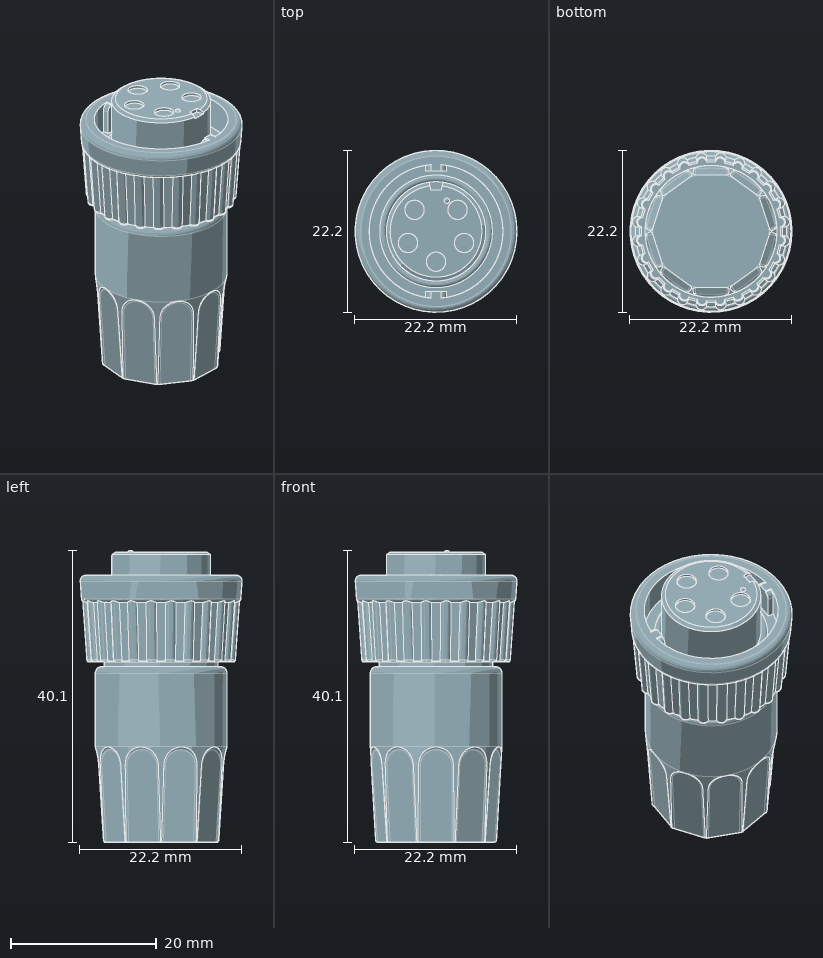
import cadquery as cq
import math

total_height = 40.05
insert_top = 39.8
nut_top = 36.63
socket_floor = 32.4
band_bottom = 32.9
nut_bottom = 24.75
body_top = 24.1
grip_top = 13.13

nut_diameter = 22.2
nut_radius = nut_diameter / 2
nut_draft = math.radians(4)
nut_rounding = 0.8
socket_radius = 9.15
groove_depth = 0.55
band_bottom_rounding = 0.52
nut_bottom_chamfer_height = 0.25
nut_bottom_chamfer_width = 0.12
rib_count = 24
rib_radius = 0.75
rib_recess = 0.1

key_inner_radius = 8.25
key_half_width = 1.45
key_crest_half_width = 0.7
key_crest_height = 0.2
key_root = 0.4

insert_radius = 6.8
insert_bevel_width = 0.52
insert_bevel_height = 0.35
contact_count = 5
contact_circle_radius = 4.15
contact_radius = 1.32
contact_depth = 0.4
contact_spacing = 67.5
first_contact_angle = 135
notch_inner_y = 5.7
notch_inner_half_width = 0.72
notch_outer_half_width = 0.95
notch_depth = 0.55
marker_x = 1.5
marker_y = 4.2
marker_radius = 0.4

rim_outer_radius = 7.73

neck_radius = 7.8
body_radius = 9.05
body_rounding = 0.92
grip_end_radius = 8.3
grip_end_rounding = 0.35
flat_count = 10
flat_depth_at_end = 0.55
flat_depth_at_top = 0.35
flat_half_width = 2.55
flat_corner_rounding = 0.4


def cone(bottom_z, bottom_radius, top_z, top_radius):
    """Solid cone frustum on the Z axis."""
    profile = [(0, bottom_z), (bottom_radius, bottom_z), (top_radius, top_z), (0, top_z)]
    return cq.Workplane("XZ").polyline(profile).close().revolve(360, (0, 0), (0, 1))


def cylinder(bottom_z, top_z, radius):
    return cq.Workplane("XY").workplane(offset=bottom_z).circle(radius).extrude(top_z - bottom_z)


def nut_radius_at(z):
    """Radius of the drafted outer surface of the nut."""
    return nut_radius - (nut_top - nut_rounding - z) * math.tan(nut_draft)


def chamfer_foot(solid):
    """Chamfer the bottom edge, taller than it is wide."""
    return solid.faces("<Z").edges().chamfer(nut_bottom_chamfer_height, nut_bottom_chamfer_width)


def make_rib():
    """Round rod lying along the drafted surface, on the +X side."""
    axis_inset = rib_radius + rib_recess
    foot = cq.Vector(nut_radius_at(nut_bottom) - axis_inset, 0, nut_bottom)
    head = cq.Vector(nut_radius_at(band_bottom) - axis_inset, 0, band_bottom)
    along = head - foot
    overrun = along.normalized() * rib_radius
    length = along.Length + 2 * rib_radius
    rod = cq.Workplane(cq.Solid.makeCylinder(rib_radius, length, foot - overrun, along))
    rod = rod.cut(cylinder(nut_bottom - 2 * rib_radius, nut_bottom, nut_radius))
    return chamfer_foot(rod)


def make_nut():
    foot_radius = nut_radius_at(nut_bottom)
    band_radius = nut_radius_at(band_bottom)
    band = cone(band_bottom, band_radius, nut_top, nut_radius_at(nut_top))
    core = cone(nut_bottom, foot_radius - groove_depth, band_bottom, band_radius - groove_depth)
    band = band.faces(">Z").edges().fillet(nut_rounding)
    band = band.faces("<Z").edges().fillet(band_bottom_rounding)
    nut = band.union(chamfer_foot(core))
    rib = make_rib()
    for index in range(rib_count):
        angle = (index + 0.5) * 360 / rib_count
        nut = nut.union(rib.rotate((0, 0, 0), (0, 0, 1), angle))
    return nut.cut(cylinder(socket_floor, nut_top, socket_radius))


def make_key():
    """Key on the +Y side of the socket: round shoulders below a flat crest."""
    shoulder_top = nut_top - key_crest_height
    shoulder_radius = key_half_width - key_crest_half_width
    shoulder_bottom = shoulder_top - shoulder_radius
    diagonal = shoulder_radius * math.sqrt(0.5)
    arc_x = key_crest_half_width + diagonal
    arc_z = shoulder_bottom + diagonal
    outline = (
        cq.Workplane("XZ", origin=(0, key_inner_radius, 0))
        .moveTo(-key_half_width, socket_floor)
        .lineTo(-key_half_width, shoulder_bottom)
        .threePointArc((-arc_x, arc_z), (-key_crest_half_width, shoulder_top))
        .lineTo(-key_crest_half_width, nut_top)
        .lineTo(key_crest_half_width, nut_top)
        .lineTo(key_crest_half_width, shoulder_top)
        .threePointArc((arc_x, arc_z), (key_half_width, shoulder_bottom))
        .lineTo(key_half_width, socket_floor)
        .close()
    )
    return outline.extrude(key_inner_radius - socket_radius - key_root)


def make_insert():
    insert = cylinder(socket_floor, insert_top, insert_radius)
    insert = insert.faces(">Z").edges().chamfer(insert_bevel_height, insert_bevel_width)
    for index in range(contact_count):
        angle = math.radians(first_contact_angle + index * contact_spacing)
        x = contact_circle_radius * math.cos(angle)
        y = contact_circle_radius * math.sin(angle)
        contact = cylinder(insert_top - contact_depth, insert_top, contact_radius)
        insert = insert.cut(contact.translate((x, y, 0)))
    notch = (
        cq.Workplane("XY", origin=(0, 0, insert_top - notch_depth))
        .moveTo(-notch_inner_half_width, notch_inner_y)
        .lineTo(notch_inner_half_width, notch_inner_y)
        .lineTo(notch_outer_half_width, insert_radius)
        .lineTo(-notch_outer_half_width, insert_radius)
        .close()
        .extrude(notch_depth)
    )
    marker = cq.Workplane("XY").sphere(marker_radius)
    marker = marker.translate((marker_x, marker_y, total_height - marker_radius))
    return insert.cut(notch).union(marker)


def make_rim():
    """Ring of round section, half sunk into the socket floor."""
    rim_radius = (rim_outer_radius - insert_radius) / 2
    centre_radius = rim_outer_radius - rim_radius
    ring = cq.Workplane("XZ").center(centre_radius, socket_floor).circle(rim_radius)
    return ring.revolve(360, (-centre_radius, 0), (-centre_radius, 1))


def make_flat_cutter():
    """Arch-topped slab that cuts one flat of the grip, on the -Y side."""
    end_distance = grip_end_radius - flat_depth_at_end
    top_distance = body_radius - flat_depth_at_top
    slope = math.atan2(top_distance - end_distance, grip_top)
    arch_centre = grip_top - flat_half_width
    cutter = (
        cq.Workplane("XZ")
        .moveTo(-flat_half_width, -flat_half_width)
        .lineTo(-flat_half_width, arch_centre)
        .threePointArc((0, grip_top), (flat_half_width, arch_centre))
        .lineTo(flat_half_width, -flat_half_width)
        .close()
        .extrude(body_radius)
    )
    cutter = cutter.faces(">Y").edges().fillet(flat_corner_rounding)
    cutter = cutter.rotate((0, 0, 0), (1, 0, 0), math.degrees(slope))
    return cutter.translate((0, -end_distance, 0))


def make_body():
    barrel = cylinder(grip_top, body_top, body_radius).faces(">Z").edges().fillet(body_rounding)
    grip = cone(0, grip_end_radius, grip_top, body_radius)
    grip = grip.faces("<Z").edges().fillet(grip_end_rounding)
    cutter = make_flat_cutter()
    for index in range(flat_count):
        grip = grip.cut(cutter.rotate((0, 0, 0), (0, 0, 1), index * 360 / flat_count))
    neck = cylinder(body_top, nut_bottom, neck_radius)
    return barrel.union(grip).union(neck)


key = make_key()
result = (
    make_body()
    .union(make_nut())
    .union(key)
    .union(key.rotate((0, 0, 0), (0, 0, 1), 180))
    .union(make_rim())
    .union(make_insert())
)